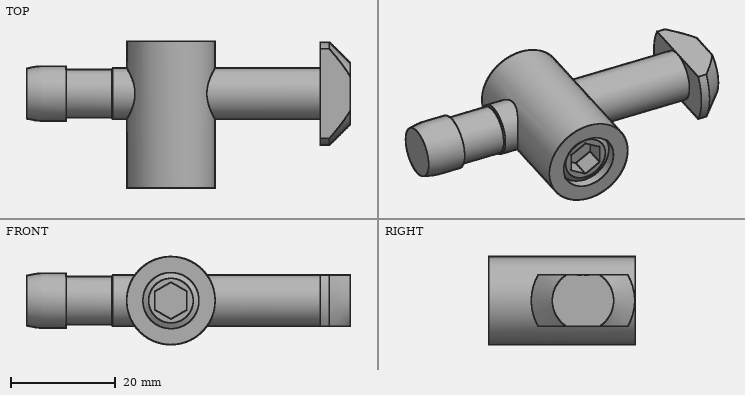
import cadquery as cq
import math

BARREL_DIAMETER = 16.85
BARREL_LENGTH = 28.0

SCREW_DIAMETER = 10.7
SCREW_TIP_DIAMETER = 8.5
SCREW_CHAMFER_LENGTH = 0.65
SCREW_RECESS = 1.3
HEX_ACROSS_FLATS = 6.1
HEX_DEPTH = 4.0

BOLT_OFFSET_Y = 4.0
BOLT_LENGTH = 61.7
TIP_X = -27.5
SHANK_DIAMETER = 9.8
NECK_DIAMETER = 9.25
SHOULDER_CHAMFER_LENGTH = 0.25
NECK_END = 16.2

COLLAR_DIAMETER = 10.5
COLLAR_TIP_DIAMETER = 9.6
COLLAR_NOSE_LENGTH = 3.0
COLLAR_END = 7.5

HEAD_DIAMETER = 19.7
HEAD_RIM_LENGTH = 1.75
HEAD_CONE_LENGTH = 4.0
HEAD_CONE_ANGLE = 45.0
HEAD_THICKNESS_Z = SHANK_DIAMETER


def make_barrel():
    """Solid cylinder along Y."""
    return cq.Workplane("XZ").circle(BARREL_DIAMETER / 2).extrude(BARREL_LENGTH / 2, both=True)


def make_screw_cavity():
    """Volume removed above the screw: recess, ring around the chamfered end, and hex socket."""
    end_y = -BARREL_LENGTH / 2
    face_y = end_y + SCREW_RECESS
    ring = (
        cq.Workplane("XY")
        .moveTo(0, end_y)
        .lineTo(SCREW_DIAMETER / 2, end_y)
        .lineTo(SCREW_DIAMETER / 2, face_y + SCREW_CHAMFER_LENGTH)
        .lineTo(SCREW_TIP_DIAMETER / 2, face_y)
        .lineTo(0, face_y)
        .close()
        .revolve(360, (0, 0, 0), (0, 1, 0))
    )
    hex_across_corners = HEX_ACROSS_FLATS / math.cos(math.radians(30))
    socket = (
        cq.Workplane("XZ", origin=(0, face_y, 0))
        .transformed(rotate=(0, 0, 90))
        .polygon(6, hex_across_corners)
        .extrude(-HEX_DEPTH)
    )
    return ring.union(socket)


def make_bolt_body():
    """Turned collar, neck and shank, built along X from the tip to the head's seat."""
    tip_radius = COLLAR_TIP_DIAMETER / 2
    collar_radius = COLLAR_DIAMETER / 2
    neck_radius = NECK_DIAMETER / 2
    shank_radius = SHANK_DIAMETER / 2
    seat = BOLT_LENGTH - HEAD_RIM_LENGTH - HEAD_CONE_LENGTH
    nose_drop = collar_radius - tip_radius
    nose_arc_radius = (COLLAR_NOSE_LENGTH**2 + nose_drop**2) / (2 * nose_drop)
    return (
        cq.Workplane("XY")
        .moveTo(0, 0)
        .lineTo(0, tip_radius)
        .radiusArc((COLLAR_NOSE_LENGTH, collar_radius), nose_arc_radius)
        .lineTo(COLLAR_END, collar_radius)
        .lineTo(COLLAR_END, neck_radius)
        .lineTo(NECK_END, neck_radius)
        .lineTo(NECK_END + SHOULDER_CHAMFER_LENGTH, shank_radius)
        .lineTo(seat, shank_radius)
        .lineTo(seat, 0)
        .close()
        .revolve(360, (0, 0, 0), (1, 0, 0))
    )


def make_bolt_head():
    """Turned head with a conical outer face, trimmed to two flats parallel to XY."""
    rim_radius = HEAD_DIAMETER / 2
    end_radius = rim_radius - HEAD_CONE_LENGTH * math.tan(math.radians(HEAD_CONE_ANGLE))
    cone_start = BOLT_LENGTH - HEAD_CONE_LENGTH
    seat = cone_start - HEAD_RIM_LENGTH
    disc = (
        cq.Workplane("XY")
        .moveTo(seat, 0)
        .lineTo(seat, rim_radius)
        .lineTo(cone_start, rim_radius)
        .lineTo(BOLT_LENGTH, end_radius)
        .lineTo(BOLT_LENGTH, 0)
        .close()
        .revolve(360, (0, 0, 0), (1, 0, 0))
    )
    slab = cq.Workplane("XY").box(2 * BOLT_LENGTH, HEAD_DIAMETER, HEAD_THICKNESS_Z)
    return disc.intersect(slab)


bolt = make_bolt_body().union(make_bolt_head()).translate((TIP_X, BOLT_OFFSET_Y, 0))
result = make_barrel().union(bolt).cut(make_screw_cavity())